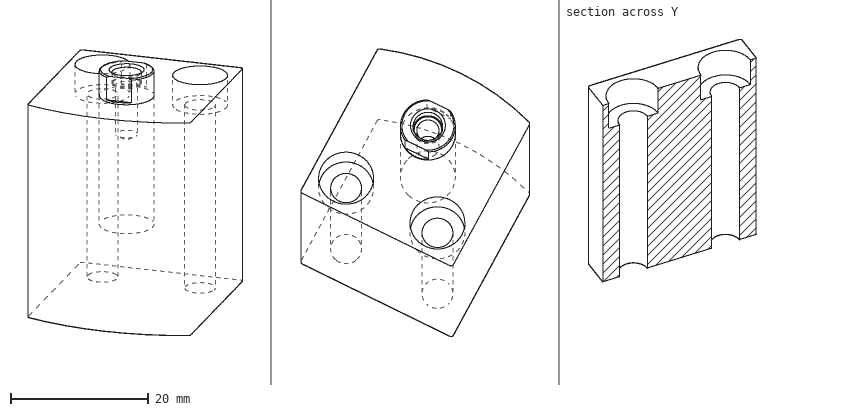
import cadquery as cq
import math

BLOCK_WIDTH = 25.0
BLOCK_HEIGHT = 33.0
BLOCK_DEPTH = 27.0
BULGE_RADIUS = 37.0
ROD_TO_BACK = 16.5
CORNER_RADIUS = 0.4

MOUNT_SPACING = 15.0
MOUNT_TO_BACK = 5.0
MOUNT_DIAMETER = 4.5
COUNTERBORE_DIAMETER = 8.0
COUNTERBORE_DEPTH = 4.6

ROD_DIAMETER = 8.0
ROD_PROJECTION = 4.0
ROD_INSERTION = 20.0
ROD_CHAMFER = 0.2
FLAT_SPACING = 7.0
FLAT_CLEARANCE = 0.3

SOCKET_MOUTH_DIAMETER = 5.1
SOCKET_RECESS_DIAMETER = 4.3
SOCKET_RECESS_DEPTH = 2.0
COUNTERSINK_DIAMETER = 4.0
THREAD_DIAMETER = 3.24
THREAD_END_DEPTH = 10.0
DRILL_POINT_ANGLE = 120.0

half_width = BLOCK_WIDTH / 2
back_y = ROD_TO_BACK
front_y = back_y - BLOCK_DEPTH
bulge_height = BULGE_RADIUS - math.sqrt(BULGE_RADIUS**2 - half_width**2)
corner_y = front_y + bulge_height
rod_bottom = BLOCK_HEIGHT - ROD_INSERTION
rod_top = BLOCK_HEIGHT + ROD_PROJECTION


def make_housing():
    block = (
        cq.Workplane("XY")
        .moveTo(-half_width, back_y)
        .lineTo(-half_width, corner_y)
        .threePointArc((0, front_y), (half_width, corner_y))
        .lineTo(half_width, back_y)
        .close()
        .extrude(BLOCK_HEIGHT)
        .edges("|Z")
        .fillet(CORNER_RADIUS)
    )
    mount_y = back_y - MOUNT_TO_BACK
    block = (
        block.faces(">Z")
        .workplane(origin=(0, 0, BLOCK_HEIGHT))
        .pushPoints([(side * MOUNT_SPACING / 2, mount_y) for side in (-1, 1)])
        .cboreHole(MOUNT_DIAMETER, COUNTERBORE_DIAMETER, COUNTERBORE_DEPTH)
    )
    rod_bore = cq.Workplane("XY", origin=(0, 0, rod_bottom)).circle(ROD_DIAMETER / 2).extrude(ROD_INSERTION)
    return block.cut(rod_bore)


def make_socket():
    """Revolved cavity: 45 degree mouth, plain recess, 45 degree countersink, thread core and drill point."""
    mouth_radius = SOCKET_MOUTH_DIAMETER / 2
    recess_radius = SOCKET_RECESS_DIAMETER / 2
    countersink_radius = COUNTERSINK_DIAMETER / 2
    thread_radius = THREAD_DIAMETER / 2
    recess_bottom = rod_top - SOCKET_RECESS_DEPTH
    thread_bottom = rod_top - THREAD_END_DEPTH
    point_length = thread_radius / math.tan(math.radians(DRILL_POINT_ANGLE / 2))
    return (
        cq.Workplane("XZ")
        .moveTo(0, rod_top)
        .lineTo(mouth_radius, rod_top)
        .lineTo(recess_radius, rod_top - (mouth_radius - recess_radius))
        .lineTo(recess_radius, recess_bottom)
        .lineTo(countersink_radius, recess_bottom)
        .lineTo(thread_radius, recess_bottom - (countersink_radius - thread_radius))
        .lineTo(thread_radius, thread_bottom)
        .lineTo(0, thread_bottom - point_length)
        .close()
        .revolve(360, (0, 0), (0, 1))
    )


def make_rod():
    rod = (
        cq.Workplane("XY", origin=(0, 0, rod_bottom))
        .circle(ROD_DIAMETER / 2)
        .extrude(rod_top - rod_bottom)
        .faces(">Z")
        .chamfer(ROD_CHAMFER)
    )
    flat_bottom = BLOCK_HEIGHT + FLAT_CLEARANCE
    for side in (-1, 1):
        flat_cutter = cq.Workplane("XY").box(
            ROD_DIAMETER, ROD_DIAMETER, rod_top - flat_bottom, centered=(True, True, False)
        )
        rod = rod.cut(flat_cutter.translate((0, side * (FLAT_SPACING + ROD_DIAMETER) / 2, flat_bottom)))
    return rod.cut(make_socket())


housing = make_housing()
rod = make_rod()
result = cq.Compound.makeCompound([housing.val(), rod.val()])